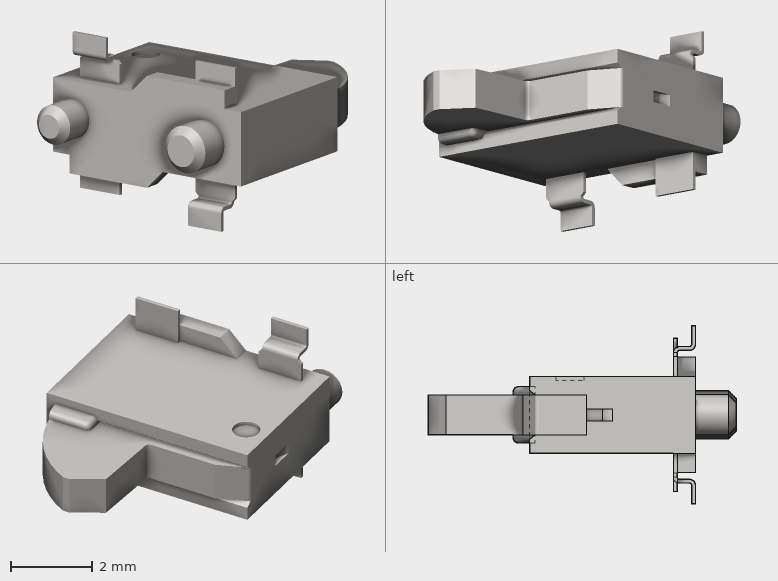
import cadquery as cq
import math


WIDTH = 5.7
DEPTH = 4.1
THICKNESS = 1.9
LEFT = -WIDTH / 2
TOP = THICKNESS / 2

FLANGE_DEPTH = 0.45
FLANGE_HEIGHT = 0.48
FLANGE_END = 2.35

PEG_LENGTH = 1.0
PEG_CHAMFER = 0.2
SMALL_PEG_DIAMETER = 1.0
SMALL_PEG_X = LEFT + 0.6
LARGE_PEG_DIAMETER = 1.2
LARGE_PEG_X = FLANGE_END - LARGE_PEG_DIAMETER / 2

DIMPLE_DIAMETER = 0.7
DIMPLE_DEPTH = 0.1
DIMPLE_X = LEFT + 0.6
DIMPLE_Y = DEPTH - 0.995

LEVER_THICKNESS = 0.99
LEVER_RIGHT = LEFT + 5.45
LEVER_REACH = 2.5
LEVER_CORNER_RADIUS = 0.1
HEEL_DROP = 0.16
SHELF_HEIGHT = 0.16
SHELF_START = LEFT + 0.83
SHELF_END = LEFT + 2.74
NOSE_X = LEFT + 2.84
NOSE_HEIGHT = 2.06
TIP_START = LEFT + 3.63
TIP_END = LEFT + 3.815
BACK_X = LEFT + 4.91
BACK_HEIGHT = 1.56
SLOT_DEPTH = 1.405
SLOT_BOTTOM = DEPTH - SLOT_DEPTH
SLOT_CHAMFER_DEPTH = 0.14
SLOT_CHAMFER_HEIGHT = 0.11

BOSS_LEFT = LEFT + 4.255
BOSS_HEIGHT = 0.41
BOSS_THICKNESS = 1.4
BOSS_CORNER_RADIUS = 0.15
BOSS_EDGE_RADIUS = 0.145

WINDOW_FLOOR_LENGTH = 0.39
WINDOW_RAMP_LENGTH = 0.25
WINDOW_DEPTH = 0.13
WINDOW_HEIGHT = 0.3

OVERALL_HEIGHT = 4.4
SHEET = 0.1
TERMINAL_WIDTH = LARGE_PEG_DIAMETER
TERMINAL_X = FLANGE_END - TERMINAL_WIDTH / 2
STRAIGHT_LENGTH = 0.94
BENT_LENGTH = (OVERALL_HEIGHT - THICKNESS) / 2
BENT_WIDTH = 1.01
ARM_OFFSET = 0.64
BEND_INNER_RADIUS = 0.05
BEND_OUTER_RADIUS = BEND_INNER_RADIUS + SHEET


def block(x_min, x_max, y_min, y_max, height):
    """Box with the given X and Y limits, centred on Z = 0."""
    return (
        cq.Workplane("XY")
        .box(x_max - x_min, y_max - y_min, height, centered=(False, False, True))
        .translate((x_min, y_min, 0))
    )


def half_turn(body):
    """Copy of a body turned 180 degrees about the Y axis."""
    return body.rotate((0, 0, 0), (0, 1, 0), 180)


def make_flange():
    """Upper flange: square at its right end, sloping down to the block at its left."""
    return (
        cq.Workplane("XZ")
        .moveTo(-FLANGE_HEIGHT, TOP)
        .lineTo(0, TOP + FLANGE_HEIGHT)
        .lineTo(FLANGE_END, TOP + FLANGE_HEIGHT)
        .lineTo(FLANGE_END, 0)
        .lineTo(-FLANGE_HEIGHT, 0)
        .close()
        .extrude(-FLANGE_DEPTH)
    )


def make_peg(x, diameter):
    """Round peg with a chamfered tip, standing out of the mounting face."""
    return (
        cq.Workplane("XZ")
        .center(x, 0)
        .circle(diameter / 2)
        .extrude(PEG_LENGTH)
        .faces("<Y")
        .chamfer(PEG_CHAMFER)
    )


def make_slot():
    """Lever slot, open at the left and at the far face, with chamfered long edges."""
    half = LEVER_THICKNESS / 2
    mouth = half + SLOT_CHAMFER_HEIGHT
    chamfer_start = DEPTH - SLOT_CHAMFER_DEPTH
    return (
        cq.Workplane("YZ", origin=(LEFT, 0, 0))
        .polyline([
            (SLOT_BOTTOM, -half),
            (chamfer_start, -half),
            (DEPTH, -mouth),
            (DEPTH, mouth),
            (chamfer_start, half),
            (SLOT_BOTTOM, half),
        ])
        .close()
        .extrude(LEVER_RIGHT - LEFT)
    )


def make_window():
    """Shallow window below the slot, ending in a ramp up to the left face."""
    ramp_start = SLOT_BOTTOM - WINDOW_FLOOR_LENGTH
    return (
        cq.Workplane("XY")
        .moveTo(LEFT, SLOT_BOTTOM)
        .lineTo(LEFT + WINDOW_DEPTH, SLOT_BOTTOM)
        .lineTo(LEFT + WINDOW_DEPTH, ramp_start)
        .lineTo(LEFT, ramp_start - WINDOW_RAMP_LENGTH)
        .close()
        .extrude(WINDOW_HEIGHT / 2, both=True)
    )


def make_dimple():
    """Round shallow recess in the top face."""
    return (
        cq.Workplane("XY", origin=(DIMPLE_X, DIMPLE_Y, TOP - DIMPLE_DEPTH))
        .circle(DIMPLE_DIAMETER / 2)
        .extrude(DIMPLE_DEPTH)
    )


def make_lever_profile(thickness):
    """Lever outline in XY, extruded symmetrically to the given thickness."""
    return (
        cq.Workplane("XY")
        .moveTo(LEFT, SLOT_BOTTOM)
        .lineTo(LEFT, DEPTH - HEEL_DROP)
        .lineTo(SHELF_START, DEPTH + SHELF_HEIGHT)
        .lineTo(SHELF_END, DEPTH + SHELF_HEIGHT)
        .lineTo(NOSE_X, DEPTH + NOSE_HEIGHT)
        .lineTo(TIP_START, DEPTH + LEVER_REACH)
        .lineTo(TIP_END, DEPTH + LEVER_REACH)
        .threePointArc((BACK_X, DEPTH + BACK_HEIGHT), (LEVER_RIGHT, DEPTH))
        .lineTo(LEVER_RIGHT, SLOT_BOTTOM)
        .close()
        .extrude(thickness / 2, both=True)
    )


def make_boss():
    """Boss with rounded left and outer edges, trimmed to the lever's back and to its seat."""
    boss_top = DEPTH + BOSS_HEIGHT
    seat = DEPTH - SLOT_CHAMFER_DEPTH
    rounded = (
        block(BOSS_LEFT, LEVER_RIGHT + BOSS_HEIGHT, seat - BOSS_HEIGHT, boss_top, BOSS_THICKNESS)
        .edges("|Z and <X and >Y")
        .fillet(BOSS_CORNER_RADIUS)
        .faces("<Z or >Z")
        .edges()
        .fillet(BOSS_EDGE_RADIUS)
    )
    trim = block(BOSS_LEFT, LEVER_RIGHT, seat, boss_top, BOSS_THICKNESS)
    return rounded.intersect(trim).intersect(make_lever_profile(BOSS_THICKNESS))


def round_corner(body, x, y):
    """Fillet the edge along Z that passes through the given XY point."""
    reach = 0.01
    corner = cq.selectors.BoxSelector(
        (x - reach, y - reach, -reach), (x + reach, y + reach, reach)
    )
    return body.edges(corner).fillet(LEVER_CORNER_RADIUS)


def make_lever():
    """Swinging lever with its rounded root boss, seated in the housing slot."""
    lever = make_lever_profile(LEVER_THICKNESS)
    lever = round_corner(lever, LEFT, DEPTH - HEEL_DROP)
    lever = round_corner(lever, SHELF_END, DEPTH + SHELF_HEIGHT)
    return lever.union(make_boss())


def make_housing(lever):
    """Block with flanges and pegs, recessed for the lever, window and dimple."""
    housing = block(LEFT, -LEFT, 0, DEPTH, THICKNESS)
    flange = make_flange()
    housing = housing.union(flange).union(half_turn(flange))
    housing = housing.union(make_peg(SMALL_PEG_X, SMALL_PEG_DIAMETER))
    housing = housing.union(make_peg(LARGE_PEG_X, LARGE_PEG_DIAMETER))
    housing = housing.cut(make_slot()).cut(make_window()).cut(make_dimple())
    return housing.cut(lever)


def make_straight_terminal():
    """Flat tab above the block at the right, lying against the flange."""
    return (
        cq.Workplane("XY", origin=(TERMINAL_X, FLANGE_DEPTH + SHEET / 2, TOP))
        .rect(TERMINAL_WIDTH, SHEET)
        .extrude(STRAIGHT_LENGTH)
    )


def make_bent_terminal():
    """Tab above the block at the left, narrowing and then bent in a Z to the mounting plane."""
    back = FLANGE_DEPTH + SHEET
    arm_near = TOP + ARM_OFFSET
    arm_far = arm_near + SHEET
    neck = arm_near - BEND_INNER_RADIUS
    foot = arm_near + BEND_OUTER_RADIUS
    end = TOP + BENT_LENGTH
    diag = math.sqrt(0.5)
    inner_sag = BEND_INNER_RADIUS * diag
    outer_sag = BEND_OUTER_RADIUS * diag
    first_bend_y = FLANGE_DEPTH - BEND_INNER_RADIUS
    second_bend_y = BEND_OUTER_RADIUS
    bent_strip = (
        cq.Workplane("YZ", origin=(-TERMINAL_X, 0, 0))
        .moveTo(FLANGE_DEPTH, TOP)
        .lineTo(FLANGE_DEPTH, neck)
        .threePointArc((first_bend_y + inner_sag, neck + inner_sag), (first_bend_y, arm_near))
        .lineTo(second_bend_y, arm_near)
        .threePointArc((second_bend_y - outer_sag, foot - outer_sag), (0, foot))
        .lineTo(0, end)
        .lineTo(SHEET, end)
        .lineTo(SHEET, foot)
        .threePointArc((second_bend_y - inner_sag, foot - inner_sag), (second_bend_y, arm_far))
        .lineTo(first_bend_y, arm_far)
        .threePointArc((first_bend_y + outer_sag, neck + outer_sag), (back, neck))
        .lineTo(back, TOP)
        .close()
        .extrude(BENT_WIDTH / 2, both=True)
    )
    shoulder = (
        cq.Workplane("XY", origin=(-TERMINAL_X, FLANGE_DEPTH + SHEET / 2, TOP))
        .rect(TERMINAL_WIDTH, SHEET)
        .extrude(neck - TOP)
        .edges("|Y and >Z")
        .chamfer((TERMINAL_WIDTH - BENT_WIDTH) / 2)
    )
    return bent_strip.union(shoulder)


lever = make_lever()
housing = make_housing(lever)

terminals = []
for terminal in (make_straight_terminal(), make_bent_terminal()):
    terminals.append(terminal.val())
    terminals.append(half_turn(terminal).val())

result = cq.Compound.makeCompound([housing.val(), lever.val(), *terminals])